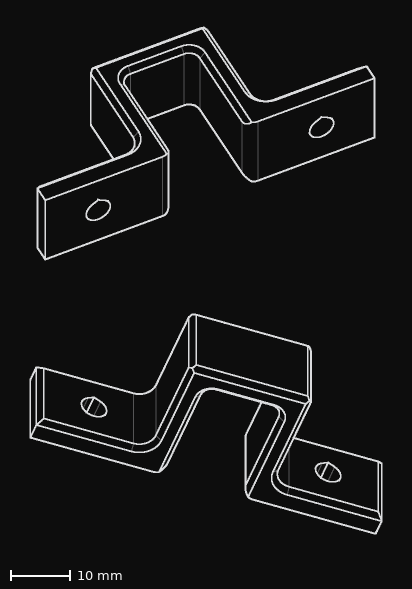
import cadquery as cq
import math

length = 62.0
depth = 24.0
height = 15.0

channel_width = 22.0
pocket_width = 14.0
wall = (channel_width - pocket_width) / 2
edge_chamfer = 1.0
flange_fillet = 3.0
channel_fillet = 2.0
mouth_radius = 2.0

hole_diameter = 4.5
hole_end_distance = 10.0
roof_slope = 30.0

half_length = length / 2
half_channel = channel_width / 2
half_pocket = pocket_width / 2
flange_face_x = depth - wall
sides = (-1, 1)


def make_strap():
    """Extruded hat section with filleted inside corners."""
    outline = [
        (depth, -half_length),
        (depth, -half_pocket),
        (wall, -half_pocket),
        (wall, half_pocket),
        (depth, half_pocket),
        (depth, half_length),
        (flange_face_x, half_length),
        (flange_face_x, half_channel),
        (0, half_channel),
        (0, -half_channel),
        (flange_face_x, -half_channel),
        (flange_face_x, -half_length),
    ]
    strap = cq.Workplane("XY").polyline(outline).close().extrude(height)
    strap = fillet_corners(strap, flange_face_x, half_channel, flange_fillet)
    return fillet_corners(strap, wall, half_pocket, channel_fillet)


def vertical_edges(body, x, y):
    """The mirrored pair of vertical edges at x and plus or minus y."""
    mid_z = height / 2
    edges = [cq.selectors.NearestToPointSelector((x, side * y, mid_z)) for side in sides]
    return body.edges("|Z").edges(edges[0] + edges[1])


def fillet_corners(body, x, y, radius):
    return vertical_edges(body, x, y).fillet(radius)


def chamfer_edges(body):
    """Chamfer the flange tips and all rims except the flat back and flange ends."""
    tips = vertical_edges(body, flange_face_x, half_length).vals()
    rims = []
    for edge in body.faces("<Z or >Z").edges().vals():
        center = edge.Center()
        on_back = math.isclose(center.x, depth)
        on_end = math.isclose(abs(center.y), half_length)
        if not on_back and not on_end:
            rims.append(edge)
    return body.newObject(tips + rims).chamfer(edge_chamfer)


def channel_corner_bevel(side):
    """Waste outside a bevelled channel corner, cut straight through the rim mitres."""
    triangle = [
        (0, side * half_channel),
        (edge_chamfer, side * half_channel),
        (0, side * (half_channel - edge_chamfer)),
    ]
    return cq.Workplane("XY").polyline(triangle).close().extrude(height)


def mouth_rounding(side):
    """Waste outside the rounded corner where the pocket meets the back."""
    arc_x = depth - mouth_radius
    arc_y = half_pocket + mouth_radius
    diagonal = mouth_radius * math.sqrt(0.5)
    return (
        cq.Workplane("XY")
        .moveTo(arc_x, side * half_pocket)
        .threePointArc((arc_x + diagonal, side * (arc_y - diagonal)), (depth, side * arc_y))
        .lineTo(depth, side * half_pocket)
        .close()
        .extrude(height)
    )


def screw_hole(side):
    """Hole through a flange whose roof rises along tangents to a central point."""
    radius = hole_diameter / 2
    slope = math.radians(roof_slope)
    tangent_y = radius * math.sin(slope)
    tangent_z = radius * math.cos(slope)
    roof_peak = radius / math.cos(slope)
    return (
        cq.Workplane("YZ", origin=(flange_face_x, side * (half_length - hole_end_distance), height / 2))
        .moveTo(-tangent_y, tangent_z)
        .threePointArc((0, -radius), (tangent_y, tangent_z))
        .lineTo(0, roof_peak)
        .close()
        .extrude(wall)
    )


result = chamfer_edges(make_strap())
for side in sides:
    result = result.cut(channel_corner_bevel(side))
    result = result.cut(mouth_rounding(side))
    result = result.cut(screw_hole(side))